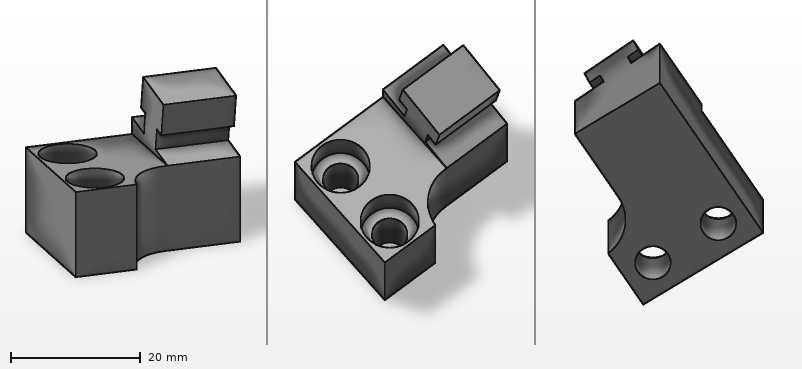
import cadquery as cq
import math

width = 22.0
length = 29.5
base_height = 13.95

rear_length = 12.0
rear_width = 15.6
tilt = 10.0
relief_radius = 7.08
relief_drop = 0.38
relief_center_y = length - rear_length - relief_drop

head_width = 9.1
head_height = 5.4
neck_width = 5.15
neck_height = 3.55
rail_offset = 7.95

hole_diameter = 5.5
bore_diameter = 9.0
bore_depth = 5.0
hole_inset = 5.02
hole_spacing = 12.0

shoulder_height = base_height + rear_width * math.tan(math.radians(tilt))


def make_base():
    """Block with a rear right notch that ends in a concave arc."""
    center_x = rear_width + relief_radius
    end_y = relief_center_y - math.sqrt(relief_radius**2 - (center_x - width) ** 2)
    mid_angle = math.radians(225)
    mid_point = (
        center_x + relief_radius * math.cos(mid_angle),
        relief_center_y + relief_radius * math.sin(mid_angle),
    )
    return (
        cq.Workplane("XY")
        .lineTo(width, 0)
        .lineTo(width, end_y)
        .threePointArc(mid_point, (rear_width, relief_center_y))
        .lineTo(rear_width, length)
        .lineTo(0, length)
        .close()
        .extrude(base_height)
    )


def extrude_rear(points):
    """Extrude an XZ outline along the rear portion."""
    profile = cq.Workplane("XZ", origin=(0, length, 0))
    return profile.polyline(points).close().extrude(rear_length)


def make_wedge():
    """Sloped shoulder falling from the left side to the base top."""
    return extrude_rear([(0, 0), (0, shoulder_height), (rear_width, base_height), (rear_width, 0)])


def make_rail():
    """T-shaped rail standing square to the slope, its foot sunk into the wedge."""
    foot_depth = neck_width / 2
    half_neck = neck_width / 2
    half_head = head_width / 2
    top = neck_height + head_height
    profile = [
        (-half_neck, -foot_depth),
        (-half_neck, neck_height),
        (-half_head, neck_height),
        (-half_head, top),
        (half_head, top),
        (half_head, neck_height),
        (half_neck, neck_height),
        (half_neck, -foot_depth),
    ]
    rail = extrude_rear(profile).rotate((0, 0, 0), (0, 1, 0), tilt)
    angle = math.radians(tilt)
    root_x = rail_offset * math.cos(angle)
    root_z = shoulder_height - rail_offset * math.sin(angle)
    return rail.translate((root_x, 0, root_z))


def drill_holes(body):
    """Two counterbored through holes along the front edge."""
    centers = [(hole_inset, hole_inset), (hole_inset + hole_spacing, hole_inset)]
    return (
        body.copyWorkplane(cq.Workplane("XY", origin=(0, 0, base_height)))
        .pushPoints(centers)
        .cboreHole(hole_diameter, bore_diameter, bore_depth)
    )


body = make_base().union(make_wedge()).union(make_rail())
result = drill_holes(body)